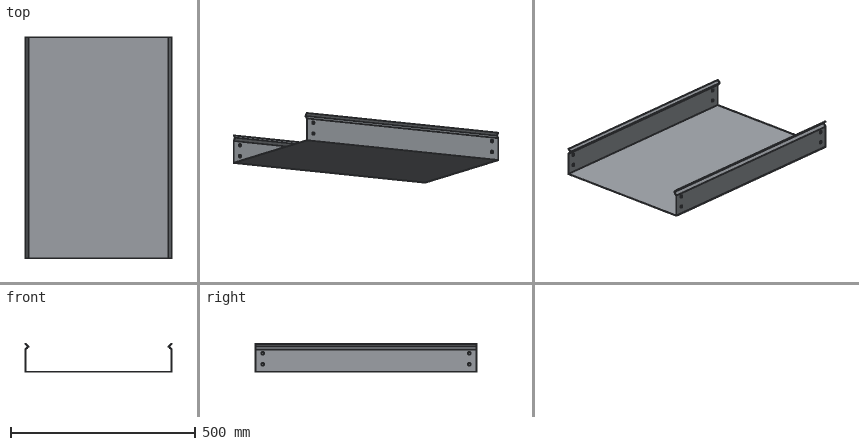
import cadquery as cq
import math

sheet = 0.87
inner_width = 396.0
length = 600.0
inner_wall_height = 60.0
overall_height = 76.25
fold_angle = 45.0
flange_length = 11.0

hole_diameter = 7.0
hole_end_distance = 20.0
hole_heights_above_floor = (20.0, 50.0)

half_width = inner_width / 2 + sheet
fold = math.radians(fold_angle)
crease_z = sheet + inner_wall_height
apex_x = half_width - flange_length * math.sin(fold)
apex_z = crease_z + flange_length * math.cos(fold)
inner_apex_x = apex_x - sheet / math.cos(fold)
inner_crease_z = crease_z - sheet * math.tan(fold / 2)

tip_z = overall_height - sheet * math.sin(fold)
tip_x = apex_x + (tip_z - apex_z) * math.tan(fold)
inner_tip_x = tip_x - sheet * math.cos(fold)


def right_half_profile():
    """Right half of the cross-section, starting on the centre line."""
    outer_face = [
        (0, 0),
        (half_width, 0),
        (half_width, crease_z),
        (apex_x, apex_z),
        (tip_x, tip_z),
    ]
    inner_face = [
        (inner_tip_x, overall_height),
        (inner_apex_x, apex_z),
        (half_width - sheet, inner_crease_z),
        (half_width - sheet, sheet),
        (0, sheet),
    ]
    return cq.Workplane("XZ").polyline(outer_face + inner_face).close()


def folded_tray():
    right_half = right_half_profile().extrude(length / 2, both=True)
    return right_half.union(right_half.mirror("YZ"))


def wall_hole_drills():
    """Cylinders along X that pass through both walls."""
    hole_y = length / 2 - hole_end_distance
    centres = [
        (y, sheet + height)
        for y in (-hole_y, hole_y)
        for height in hole_heights_above_floor
    ]
    return (
        cq.Workplane("YZ")
        .pushPoints(centres)
        .circle(hole_diameter / 2)
        .extrude(half_width, both=True)
    )


result = folded_tray().cut(wall_hole_drills()).clean()